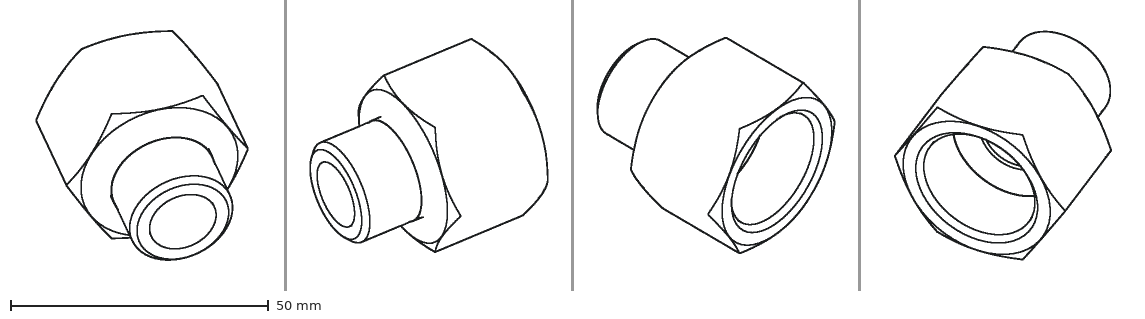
import cadquery as cq
import math

total_length = 38.5
spigot_length = 15.5
hex_length = total_length - spigot_length

across_flats = 32.0
across_corners = 2 * across_flats / math.sqrt(3)
hex_edge_radius = 0.3
end_face_radius = 31.88 / 2
end_bevel_angle = 30.0

spigot_radius = 20.95 / 2
spigot_chamfer = 1.15
collar_radius = 21.15 / 2
collar_length = 2.5

socket_radius = 24.1 / 2
socket_depth = 16.0
mouth_chamfer = 1.15
relief_radius = 24.35 / 2
relief_length = 2.0

bore_radius = 13.5 / 2
bore_chamfer = 0.5

corner_radius = 0.5
arc_mid_inset = corner_radius * (1 - math.sqrt(0.5))


def revolve_about_x(profile):
    """Turn a profile drawn as (station along X, radius) about the X axis."""
    return profile.close().revolve(360, (0, 0, 0), (1, 0, 0))


def beveled_envelope():
    """Round blank with both ends coned; it trims the corners of the hexagon."""
    corner_to_axis = across_corners / 2
    bevel_length = (corner_to_axis - end_face_radius) * math.tan(math.radians(end_bevel_angle))
    profile = cq.Workplane("XY").polyline([
        (0, 0),
        (0, end_face_radius),
        (bevel_length, corner_to_axis),
        (hex_length - bevel_length, corner_to_axis),
        (hex_length, end_face_radius),
        (hex_length, 0),
    ])
    return revolve_about_x(profile)


def hex_body():
    """Hexagonal prism with flats facing +Z and -Z, softened edges and coned ends."""
    prism = cq.Workplane("YZ").polygon(6, across_corners).extrude(hex_length)
    return prism.edges("|X").fillet(hex_edge_radius).intersect(beveled_envelope())


def spigot():
    """Chamfered shank behind a slightly larger collar that blends into the hexagon."""
    collar_end = hex_length + collar_length
    profile = (
        cq.Workplane("XY")
        .moveTo(0, 0)
        .lineTo(0, collar_radius)
        .lineTo(hex_length, collar_radius)
        .lineTo(hex_length, collar_radius + corner_radius)
        .threePointArc(
            (hex_length + arc_mid_inset, collar_radius + arc_mid_inset),
            (hex_length + corner_radius, collar_radius),
        )
        .lineTo(collar_end, collar_radius)
        .lineTo(collar_end, spigot_radius)
        .lineTo(total_length - spigot_chamfer, spigot_radius)
        .lineTo(total_length, spigot_radius - spigot_chamfer)
        .lineTo(total_length, 0)
    )
    return revolve_about_x(profile)


def cavity():
    """Socket with coned mouth and relieved, rounded floor, then the chamfered through bore."""
    relief_start = socket_depth - relief_length
    profile = (
        cq.Workplane("XY")
        .moveTo(0, 0)
        .lineTo(0, socket_radius + mouth_chamfer)
        .lineTo(mouth_chamfer, socket_radius)
        .lineTo(relief_start, socket_radius)
        .lineTo(relief_start, relief_radius)
        .lineTo(socket_depth - corner_radius, relief_radius)
        .threePointArc(
            (socket_depth - arc_mid_inset, relief_radius - arc_mid_inset),
            (socket_depth, relief_radius - corner_radius),
        )
        .lineTo(socket_depth, bore_radius + bore_chamfer)
        .lineTo(socket_depth + bore_chamfer, bore_radius)
        .lineTo(total_length, bore_radius)
        .lineTo(total_length, 0)
    )
    return revolve_about_x(profile)


result = hex_body().union(spigot()).cut(cavity())